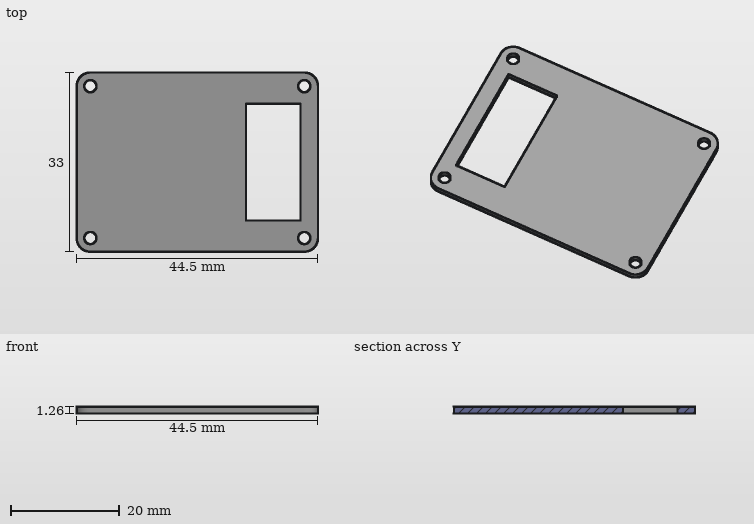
import cadquery as cq

length = 44.45
width = 33.02
thickness = 1.26
corner_radius = 2.54

hole_diameter = 2.2
hole_spacing_x = length - 2 * corner_radius
hole_spacing_y = width - 2 * corner_radius

window_length = 10.0
window_width = 21.4
window_center_x = 13.97
window_center_y = 0.0


def make_plate():
    """Flat plate with rounded corners, centred in X and Y, resting on Z = 0."""
    plate = cq.Workplane("XY").box(length, width, thickness, centered=(True, True, False))
    return plate.edges("|Z").fillet(corner_radius)


def cut_mounting_holes(plate):
    """One through hole at each corner."""
    return (
        plate.faces(">Z")
        .workplane(origin=(0, 0, 0))
        .rect(hole_spacing_x, hole_spacing_y, forConstruction=True)
        .vertices()
        .hole(hole_diameter)
    )


def cut_window(plate):
    """Through window with sharp corners near the +X edge."""
    return (
        plate.faces(">Z")
        .workplane(origin=(0, 0, 0))
        .center(window_center_x, window_center_y)
        .rect(window_length, window_width)
        .cutThruAll()
    )


result = cut_window(cut_mounting_holes(make_plate()))